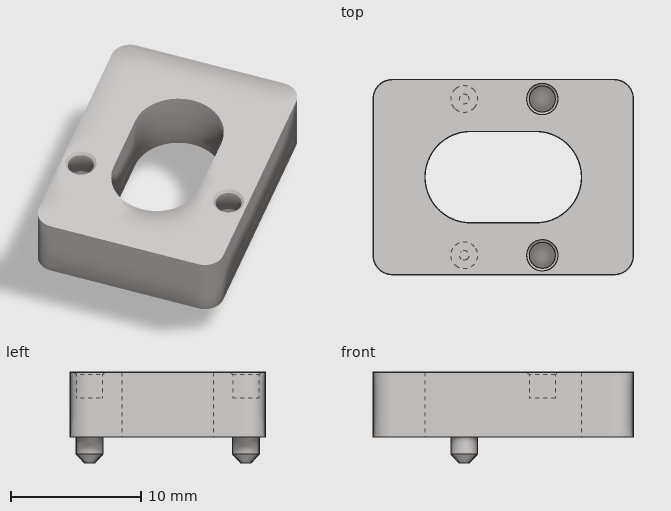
import cadquery as cq

length = 20.0
width = 15.0
thickness = 5.0
corner_radius = 1.5

slot_length = 12.0
slot_width = 7.0

pair_offset_x = 3.0
pair_offset_y = 6.0

pin_diameter = 2.05
pin_length = 2.0
pin_tip_length = 0.7
pin_tip_inset = 0.65

socket_diameter = 2.0
socket_depth = pin_length
socket_chamfer = 0.2


def pair_at(x):
    """Front and back positions of a pair at the given X."""
    return [(x, -pair_offset_y), (x, pair_offset_y)]


def make_block():
    """Block resting on Z = 0 with rounded vertical edges and the slot."""
    block = cq.Workplane("XY").box(length, width, thickness, centered=(True, True, False))
    block = block.edges("|Z").fillet(corner_radius)
    slot = cq.Workplane("XY").slot2D(slot_length, slot_width).extrude(thickness)
    return block.cut(slot)


def make_pin():
    """Pin hanging below Z = 0 with a tapered tip."""
    radius = pin_diameter / 2
    tip_radius = radius - pin_tip_inset
    profile = [
        (0, 0),
        (radius, 0),
        (radius, pin_tip_length - pin_length),
        (tip_radius, -pin_length),
        (0, -pin_length),
    ]
    return cq.Workplane("XZ").polyline(profile).close().revolve(360, (0, 0), (0, 1))


def make_socket():
    """Blind socket cutter with a chamfered mouth at the top face."""
    radius = socket_diameter / 2
    bottom = thickness - socket_depth
    profile = [
        (0, bottom),
        (radius, bottom),
        (radius, thickness - socket_chamfer),
        (radius + socket_chamfer, thickness),
        (0, thickness),
    ]
    return cq.Workplane("XZ").polyline(profile).close().revolve(360, (0, 0), (0, 1))


result = make_block()
for x, y in pair_at(-pair_offset_x):
    result = result.union(make_pin().translate((x, y, 0)))
for x, y in pair_at(pair_offset_x):
    result = result.cut(make_socket().translate((x, y, 0)))